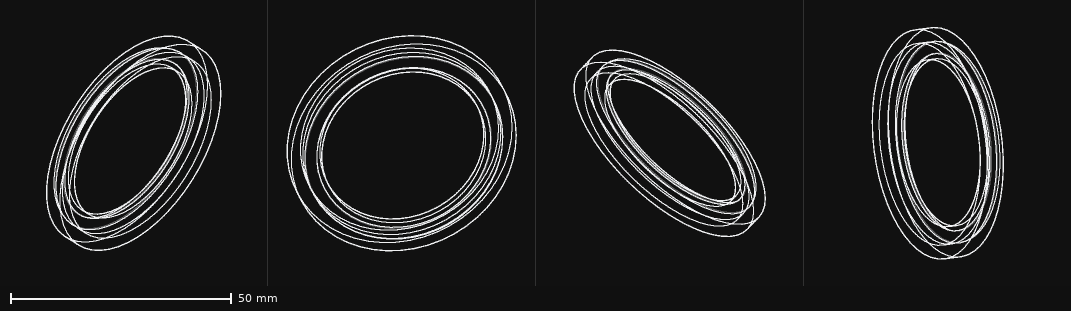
import cadquery as cq

outer_diameter = 52.5
bore_diameter = 38.2
total_thickness = 5.8

bead_height = 1.5
bead_wall_height = 0.3
bead_wall_flare = 0.1
bead_outer_diameter = 46.2
bead_inner_diameter = 40.55

bore_lip_thickness = 2.0
recess_diameter = bead_outer_diameter

ring_thickness = total_thickness - bead_height
recess_depth = ring_thickness - bore_lip_thickness
bead_mid_radius = (bead_outer_diameter + bead_inner_diameter) / 4


def make_ring():
    """Ring with its -X face at X = 0 and a recess in its +X face."""
    ring = (
        cq.Workplane("YZ")
        .circle(outer_diameter / 2)
        .circle(bore_diameter / 2)
        .extrude(ring_thickness)
    )
    recess = (
        cq.Workplane("YZ", origin=(bore_lip_thickness, 0, 0))
        .circle(recess_diameter / 2)
        .extrude(recess_depth)
    )
    return ring.cut(recess)


def make_bead():
    """Bead profile in the XY plane, revolved about the X axis."""
    inner_radius = bead_inner_diameter / 2
    outer_radius = bead_outer_diameter / 2
    root_depth = bore_lip_thickness / 2
    return (
        cq.Workplane("XY")
        .moveTo(root_depth, inner_radius)
        .lineTo(0, inner_radius)
        .lineTo(-bead_wall_height, inner_radius + bead_wall_flare)
        .threePointArc(
            (-bead_height, bead_mid_radius),
            (-bead_wall_height, outer_radius - bead_wall_flare),
        )
        .lineTo(0, outer_radius)
        .lineTo(root_depth, outer_radius)
        .close()
        .revolve(360, (0, 0, 0), (1, 0, 0))
    )


result = make_ring().union(make_bead())